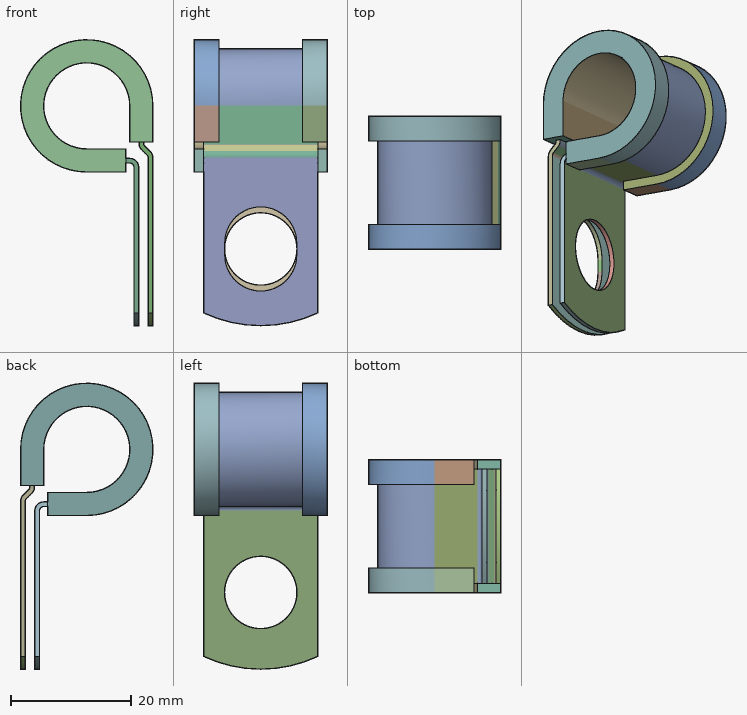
import cadquery as cq
import math

liner_radius = 10.995
bore_radius = 7.12
band_radius = 9.5
band_thickness = 0.8
total_width = 22.1
rim_width = 4.15
groove_width = total_width - 2 * rim_width
lower_leg_end = 6.5
side_leg_end = -6.05

strap_width = 19.0
strap_bottom = liner_radius - 47.5
tip_rise = 2.15
near_strap_x = 8.65
hole_diameter = 11.95
hole_z = -23.75
slot_length = 13.95
inner_bend = 0.7
outer_bend = inner_bend + band_thickness
jog_start = -6.5
jog_inner_bend = 0.2
jog_outer_bend = jog_inner_bend + band_thickness


def loop(outer_radius, width):
    """Solid loop of three quarters of a turn with two straight tangent legs."""
    return (
        cq.Workplane("XZ")
        .moveTo(outer_radius, side_leg_end)
        .lineTo(outer_radius, 0)
        .threePointArc((0, outer_radius), (-outer_radius, 0))
        .threePointArc(
            (-outer_radius * math.sqrt(0.5), -outer_radius * math.sqrt(0.5)), (0, -outer_radius)
        )
        .lineTo(lower_leg_end, -outer_radius)
        .lineTo(lower_leg_end, -bore_radius)
        .lineTo(0, -bore_radius)
        .threePointArc((-bore_radius, 0), (0, bore_radius))
        .threePointArc(
            (bore_radius * math.sqrt(0.5), bore_radius * math.sqrt(0.5)), (bore_radius, 0)
        )
        .lineTo(bore_radius, side_leg_end)
        .close()
        .extrude(width / 2, both=True)
    )


def sheet(points, bends):
    """Bent sheet from its sharp-cornered edge profile; bends are (point, radius)."""
    body = cq.Workplane("XZ").polyline(points).close().extrude(strap_width / 2, both=True)
    for (x, z), radius in bends:
        body = body.edges(cq.selectors.NearestToPointSelector((x, 0, z))).fillet(radius)
    return body


def near_strap():
    """Strap that leaves the lower leg and turns down through a right angle."""
    inner_x = near_strap_x - band_thickness
    inner_corner = (inner_x, -band_radius)
    outer_corner = (near_strap_x, band_thickness - band_radius)
    points = [
        (lower_leg_end, -band_radius),
        inner_corner,
        (inner_x, strap_bottom),
        (near_strap_x, strap_bottom),
        outer_corner,
        (lower_leg_end, band_thickness - band_radius),
    ]
    return sheet(points, [(inner_corner, inner_bend), (outer_corner, outer_bend)])


def far_strap():
    """Strap that leaves the side leg and jogs outward at 45 degrees."""
    jog = liner_radius - band_radius
    miter_drop = band_thickness * math.tan(math.radians(22.5))
    upper_outer = (band_radius, jog_start)
    lower_outer = (liner_radius, jog_start - jog)
    lower_inner = (liner_radius - band_thickness, jog_start - jog - miter_drop)
    upper_inner = (band_radius - band_thickness, jog_start - miter_drop)
    points = [
        (band_radius, side_leg_end),
        upper_outer,
        lower_outer,
        (liner_radius, strap_bottom),
        (liner_radius - band_thickness, strap_bottom),
        lower_inner,
        upper_inner,
        (band_radius - band_thickness, side_leg_end),
    ]
    bends = [
        (upper_outer, jog_inner_bend),
        (upper_inner, jog_outer_bend),
        (lower_inner, inner_bend),
        (lower_outer, outer_bend),
    ]
    return sheet(points, bends)


def strap_outline():
    """Block with the face outline of the straps, with a rounded tip."""
    half_width = strap_width / 2
    corner_z = strap_bottom + tip_rise
    return (
        cq.Workplane("YZ")
        .moveTo(-half_width, 0)
        .lineTo(-half_width, corner_z)
        .threePointArc((0, strap_bottom), (half_width, corner_z))
        .lineTo(half_width, 0)
        .close()
        .extrude(liner_radius)
    )


def bolt_hole():
    """Round cutter for the hole in the near strap."""
    return cq.Workplane("YZ").center(0, hole_z).circle(hole_diameter / 2).extrude(liner_radius)


def bolt_slot():
    """Cutter for the slot in the far strap, elongated along Z."""
    return (
        cq.Workplane("YZ")
        .center(0, hole_z)
        .slot2D(slot_length, hole_diameter, 90)
        .extrude(liner_radius)
    )


gap_size = 4 * liner_radius
rim_gap = cq.Workplane("XY").box(gap_size, groove_width, gap_size)
rims = loop(liner_radius, total_width).cut(rim_gap)
groove_body = loop(band_radius, groove_width)
straps = near_strap().cut(bolt_hole()).union(far_strap().cut(bolt_slot())).intersect(strap_outline())

result = rims.union(groove_body).union(straps)